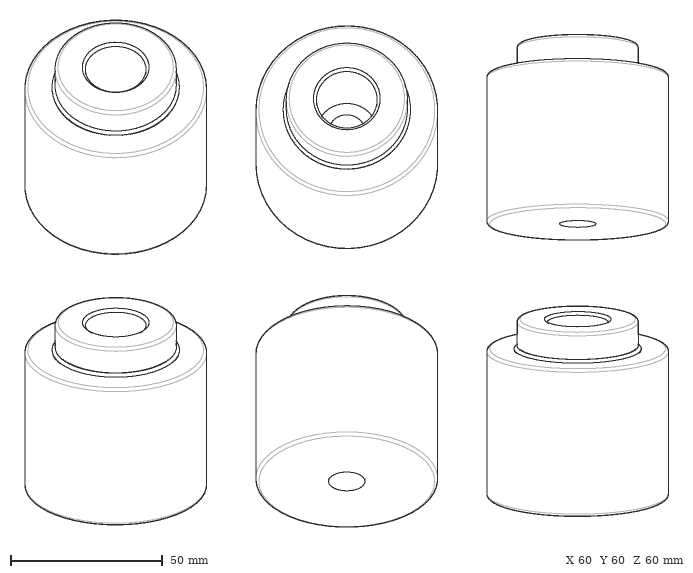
import cadquery as cq

body_diameter = 60.0
total_height = 60.0
boss_diameter = body_diameter * 2 / 3
bore_diameter = body_diameter / 3
hole_diameter = 12.0
shoulder_height = total_height * 5 / 6
bore_depth = total_height / 2
edge_size = body_diameter / 60


def rounded_body():
    """Main cylinder with both rims rounded."""
    body = cq.Workplane("XY").circle(body_diameter / 2).extrude(shoulder_height)
    return body.edges("%CIRCLE").fillet(edge_size)


def rounded_boss():
    """Smaller cylinder on the shoulder with a rounded top rim."""
    boss_height = total_height - shoulder_height
    boss = cq.Workplane("XY").workplane(offset=shoulder_height)
    return boss.circle(boss_diameter / 2).extrude(boss_height).faces(">Z").edges().fillet(edge_size)


def relief_groove():
    """Round-section ring centred on the corner between boss and shoulder."""
    section = cq.Workplane("XZ").center(boss_diameter / 2, shoulder_height).circle(edge_size)
    return section.revolve(360, (-boss_diameter / 2, 0), (-boss_diameter / 2, 1))


def stepped_bore():
    """Wide blind bore above a narrow through hole."""
    hole = cq.Workplane("XY").circle(hole_diameter / 2).extrude(total_height)
    bore = cq.Workplane("XY").workplane(offset=total_height).circle(bore_diameter / 2).extrude(-bore_depth)
    return hole.union(bore)


result = rounded_body().union(rounded_boss()).cut(relief_groove()).cut(stepped_bore())

bore_mouth = cq.selectors.RadiusNthSelector(0)
result = result.faces(">Z").edges(bore_mouth).chamfer(edge_size)